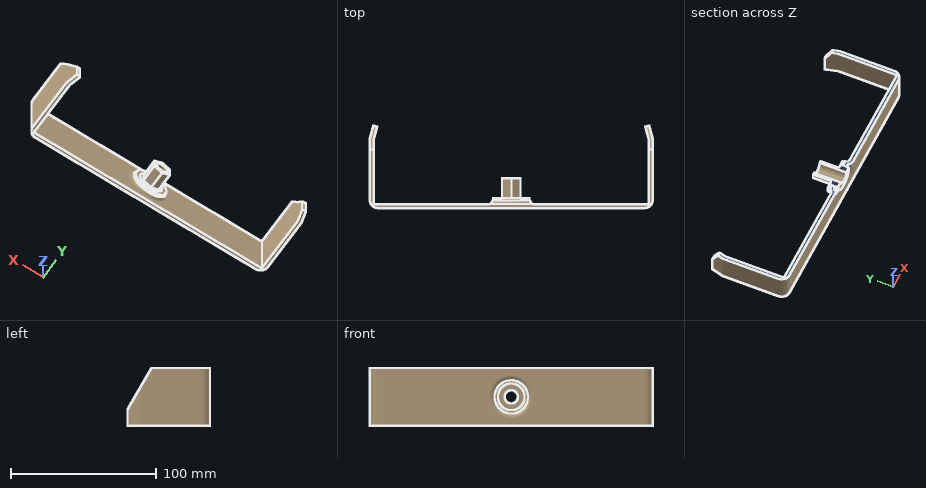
import cadquery as cq
import math

LENGTH = 195.0
HEIGHT = 40.0
DEPTH = 57.0
THICKNESS = 3.0
BEND_RADIUS = 6.0

LIP_START = 47.5
LIP_ANGLE = math.radians(15)

SLOPE_START = 40.4
TIP_HEIGHT = 11.3

SEAT_DEPTH = 2.3
SEAT_RADIUS = 15.0
RECESS_RADIUS = 11.5
EMBOSS_RADIUS = 15.5
SEAT_BACK = THICKNESS + SEAT_DEPTH

WASHER_RADIUS = 12.7
WASHER_THICKNESS = 1.8
WASHER_BACK = SEAT_BACK + WASHER_THICKNESS
COLLAR_RADIUS = 9.2
COLLAR_FRONT = 0.4
BORE_RADIUS = 4.5
NUT_ACROSS_FLATS = 12.9
NUT_HEIGHT = 13.6


def cylinder(radius, y_start, y_end):
    """Cylinder on the Y axis between two Y positions."""
    disc = cq.Workplane("XZ", origin=(0, y_start, 0)).circle(radius)
    return disc.extrude(y_start - y_end)


def make_strip():
    """Plate, two rounded bends and two arms with leaning lips."""
    half = LENGTH / 2
    inner_half = half - THICKNESS
    lean = math.tan(LIP_ANGLE)
    tip_x = half - (DEPTH - LIP_START) * lean
    inner_tip_x = tip_x - THICKNESS * math.cos(LIP_ANGLE)
    inner_tip_y = DEPTH - THICKNESS * math.sin(LIP_ANGLE)
    inner_lip_start = inner_tip_y - (inner_half - inner_tip_x) / lean
    arc_inset = BEND_RADIUS * (1 - math.sqrt(0.5))
    bend_start = half - BEND_RADIUS
    profile = (
        cq.Workplane("XY", origin=(0, 0, -HEIGHT / 2))
        .moveTo(-bend_start, 0)
        .lineTo(bend_start, 0)
        .threePointArc((half - arc_inset, arc_inset), (half, BEND_RADIUS))
        .lineTo(half, LIP_START)
        .lineTo(tip_x, DEPTH)
        .lineTo(inner_tip_x, inner_tip_y)
        .lineTo(inner_half, inner_lip_start)
        .lineTo(inner_half, THICKNESS)
        .lineTo(-inner_half, THICKNESS)
        .lineTo(-inner_half, inner_lip_start)
        .lineTo(-inner_tip_x, inner_tip_y)
        .lineTo(-tip_x, DEPTH)
        .lineTo(-half, LIP_START)
        .lineTo(-half, BEND_RADIUS)
        .threePointArc((arc_inset - half, arc_inset), (-bend_start, 0))
        .close()
    )
    return profile.extrude(HEIGHT)


def make_slope_cutter():
    """Triangular prism that slopes the upper corner of both arms."""
    top = HEIGHT / 2
    triangle = cq.Workplane("YZ").polyline(
        [(SLOPE_START, top), (DEPTH, top), (DEPTH, TIP_HEIGHT - top)]
    )
    return triangle.close().extrude(LENGTH / 2, both=True)


def make_emboss():
    """Raised back of the seat, with a concave quarter-round flank."""
    inset = SEAT_DEPTH * math.sqrt(0.5)
    flank_middle = (EMBOSS_RADIUS - inset, SEAT_BACK - inset)
    profile = (
        cq.Workplane("XY")
        .lineTo(EMBOSS_RADIUS, 0)
        .lineTo(EMBOSS_RADIUS, THICKNESS)
        .threePointArc(flank_middle, (EMBOSS_RADIUS - SEAT_DEPTH, SEAT_BACK))
        .lineTo(0, SEAT_BACK)
        .close()
    )
    return profile.revolve(360, (0, 0, 0), (0, 1, 0))


def make_recess():
    """Front recess of the seat; its rounded flank is tangent to the plate."""
    width = SEAT_RADIUS - RECESS_RADIUS
    flank_radius = (width**2 + SEAT_DEPTH**2) / (2 * SEAT_DEPTH)
    half_sweep = math.atan2(SEAT_DEPTH, width)
    flank_middle = (
        SEAT_RADIUS - flank_radius * math.sin(half_sweep),
        flank_radius * (1 - math.cos(half_sweep)),
    )
    profile = (
        cq.Workplane("XY")
        .lineTo(SEAT_RADIUS, 0)
        .threePointArc(flank_middle, (RECESS_RADIUS, SEAT_DEPTH))
        .lineTo(0, SEAT_DEPTH)
        .close()
    )
    return profile.revolve(360, (0, 0, 0), (0, 1, 0))


def make_bracket():
    body = make_strip().cut(make_slope_cutter())
    body = body.union(make_emboss()).cut(make_recess())
    return body.cut(cylinder(COLLAR_RADIUS, 0, SEAT_BACK))


def make_washer():
    disc = cylinder(WASHER_RADIUS, SEAT_BACK, WASHER_BACK)
    return disc.cut(cylinder(COLLAR_RADIUS, SEAT_BACK, WASHER_BACK))


def make_nut():
    """Hex nut, flats facing +X and -X, with a round collar through the washer and bracket."""
    nut_back = WASHER_BACK + NUT_HEIGHT
    across_corners = NUT_ACROSS_FLATS / math.cos(math.pi / 6)
    hexagon = (
        cq.Workplane("XZ", origin=(0, WASHER_BACK, 0))
        .transformed(rotate=(0, 0, 30))
        .polygon(6, across_corners)
        .extrude(-NUT_HEIGHT)
    )
    collar = cylinder(COLLAR_RADIUS, COLLAR_FRONT, WASHER_BACK)
    return hexagon.union(collar).cut(cylinder(BORE_RADIUS, COLLAR_FRONT, nut_back))


bracket = make_bracket()
washer = make_washer()
nut = make_nut()

result = cq.Compound.makeCompound([bracket.val(), washer.val(), nut.val()])